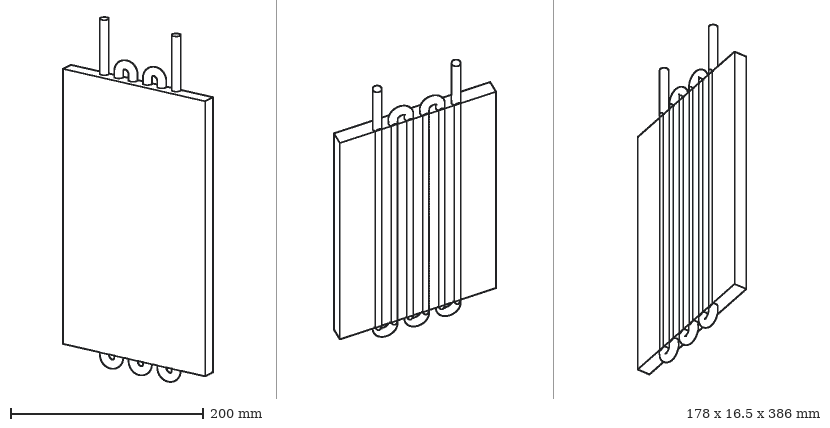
import cadquery as cq

PLATE_WIDTH = 178.0
PLATE_THICKNESS = 15.0
PLATE_HEIGHT = 304.8

TUBE_DIAMETER = 9.5
TUBE_PROTRUSION = 1.5
RUN_COUNT = 6
OUTER_RUN_SPACING = 90.0
OVERALL_HEIGHT = 386.0
BEND_STUB = 6.0
FLAT_TAPER = 3.5

tube_radius = TUBE_DIAMETER / 2
tube_y = PLATE_THICKNESS + TUBE_PROTRUSION - tube_radius
run_pitch = OUTER_RUN_SPACING / (RUN_COUNT - 1)
bend_radius = run_pitch / 2
lower_bend_z = -BEND_STUB
upper_bend_z = PLATE_HEIGHT + BEND_STUB
tube_bottom_z = lower_bend_z - bend_radius - tube_radius
tube_end_z = tube_bottom_z + OVERALL_HEIGHT
first_run_x = -OUTER_RUN_SPACING / 2


def serpentine_path():
    """Centreline of the tube: straight runs joined by alternating lower and upper half-circle bends."""
    path = cq.Workplane("XZ", origin=(0, tube_y, 0)).moveTo(first_run_x, tube_end_z)
    for bend in range(RUN_COUNT - 1):
        run_x = first_run_x + bend * run_pitch
        is_lower = bend % 2 == 0
        bend_z = lower_bend_z if is_lower else upper_bend_z
        apex_z = bend_z - bend_radius if is_lower else bend_z + bend_radius
        path = path.lineTo(run_x, bend_z)
        path = path.threePointArc((run_x + bend_radius, apex_z), (run_x + run_pitch, bend_z))
    return path.lineTo(first_run_x + OUTER_RUN_SPACING, tube_end_z)


def flattening_cutter():
    """Block behind the plate that trims the tube flush, tapering out past both plate edges."""
    outer_y = PLATE_THICKNESS + TUBE_PROTRUSION
    return (
        cq.Workplane("YZ")
        .moveTo(PLATE_THICKNESS, 0)
        .lineTo(outer_y, -FLAT_TAPER)
        .lineTo(outer_y, PLATE_HEIGHT + FLAT_TAPER)
        .lineTo(PLATE_THICKNESS, PLATE_HEIGHT)
        .close()
        .extrude(PLATE_WIDTH / 2, both=True)
    )


def make_tube():
    """Round serpentine tube, flush with the plate's back face along the plate."""
    section = cq.Workplane("XY", origin=(first_run_x, tube_y, tube_end_z)).circle(tube_radius)
    return section.sweep(serpentine_path()).cut(flattening_cutter())


def make_plate(tube):
    """Rectangular plate with grooves that match the embedded tube."""
    block = cq.Workplane("XY").box(
        PLATE_WIDTH, PLATE_THICKNESS, PLATE_HEIGHT, centered=(True, False, False)
    )
    return block.cut(tube)


tube = make_tube()
plate = make_plate(tube)

result = cq.Compound.makeCompound([plate.solids().val(), tube.solids().val()])